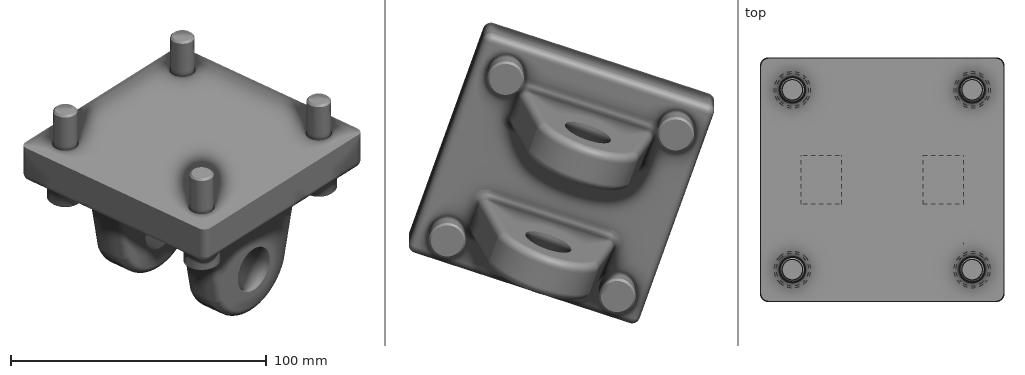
import cadquery as cq

plate_side = 95.25
total_height = 83.3
plate_thickness = 15.9
edge_radius = 3.1

lug_gap = 31.7
lug_thickness = 15.9
lug_root_half_width = 28.6
lug_end_half_width = 20.7
lug_end_shift = -0.8
lug_flank_depth = 37.3
pin_hole_diameter = 19.05
pin_hole_depth = 31.7

bolt_offset = 35.1
shank_diameter = 9.5
bolt_hole_diameter = 10.3
head_diameter = 14.3
head_height = 9.5
bolt_rise = 15.9
bolt_chamfer = 0.8

lug_depth = total_height - plate_thickness - bolt_rise
bolt_points = [(x, y) for x in (-bolt_offset, bolt_offset) for y in (-bolt_offset, bolt_offset)]


def make_plate():
    """Square plate with rounded corners and a rounded lower edge."""
    plate = cq.Workplane("XY").rect(plate_side, plate_side).extrude(plate_thickness)
    return plate.edges("|Z").fillet(edge_radius).faces("<Z").edges().fillet(edge_radius)


def make_lug():
    """Tapered lug on the -X side, with a rounded end and a pin hole."""
    outline = (
        cq.Workplane("YZ", origin=(-lug_gap / 2 - lug_thickness, 0, 0))
        .moveTo(-lug_root_half_width, 0)
        .lineTo(lug_end_shift - lug_end_half_width, -lug_flank_depth)
        .threePointArc(
            (lug_end_shift, -lug_depth),
            (lug_end_shift + lug_end_half_width, -lug_flank_depth),
        )
        .lineTo(lug_root_half_width, 0)
        .close()
    )
    lug = outline.extrude(lug_thickness)
    lug = lug.faces("<X or >X").edges("not(>Z)").fillet(edge_radius)
    pin_hole = (
        cq.Workplane("YZ")
        .center(0, -pin_hole_depth)
        .circle(pin_hole_diameter / 2)
        .extrude(-plate_side / 2)
    )
    return lug.cut(pin_hole)


def fillet_lug_roots(bracket):
    """Fillet the corners between the lugs and the underside of the plate."""
    reach_x = lug_gap / 2 + lug_thickness + edge_radius
    reach_y = lug_root_half_width + edge_radius
    half_height = edge_radius / 2
    root_zone = cq.selectors.BoxSelector(
        (-reach_x, -reach_y, -half_height),
        (reach_x, reach_y, half_height),
    )
    return bracket.edges(root_zone).fillet(edge_radius)


def make_bracket():
    """Plate with two mirrored lugs and four bolt holes."""
    bracket = make_plate()
    lug = make_lug()
    bracket = bracket.union(lug).union(lug.mirror("YZ"))
    bracket = fillet_lug_roots(bracket)

    bolt_holes = (
        cq.Workplane("XY").pushPoints(bolt_points).circle(bolt_hole_diameter / 2).extrude(plate_thickness)
    )
    head_clearances = (
        cq.Workplane("XY").pushPoints(bolt_points).circle(head_diameter / 2).extrude(-head_height)
    )
    return bracket.cut(bolt_holes).cut(head_clearances)


def make_bolt(x, y):
    """Bolt with its head against the underside of the plate and its shank upward."""
    head = (
        cq.Workplane("XY")
        .center(x, y)
        .circle(head_diameter / 2)
        .extrude(-head_height)
        .faces("<Z")
        .chamfer(bolt_chamfer)
    )
    shank = (
        cq.Workplane("XY")
        .center(x, y)
        .circle(shank_diameter / 2)
        .extrude(plate_thickness + bolt_rise)
        .faces(">Z")
        .chamfer(bolt_chamfer)
    )
    return head.union(shank)


bracket = make_bracket()
bolts = [make_bolt(x, y) for x, y in bolt_points]

result = cq.Compound.makeCompound([bracket.val(), *[bolt.val() for bolt in bolts]])